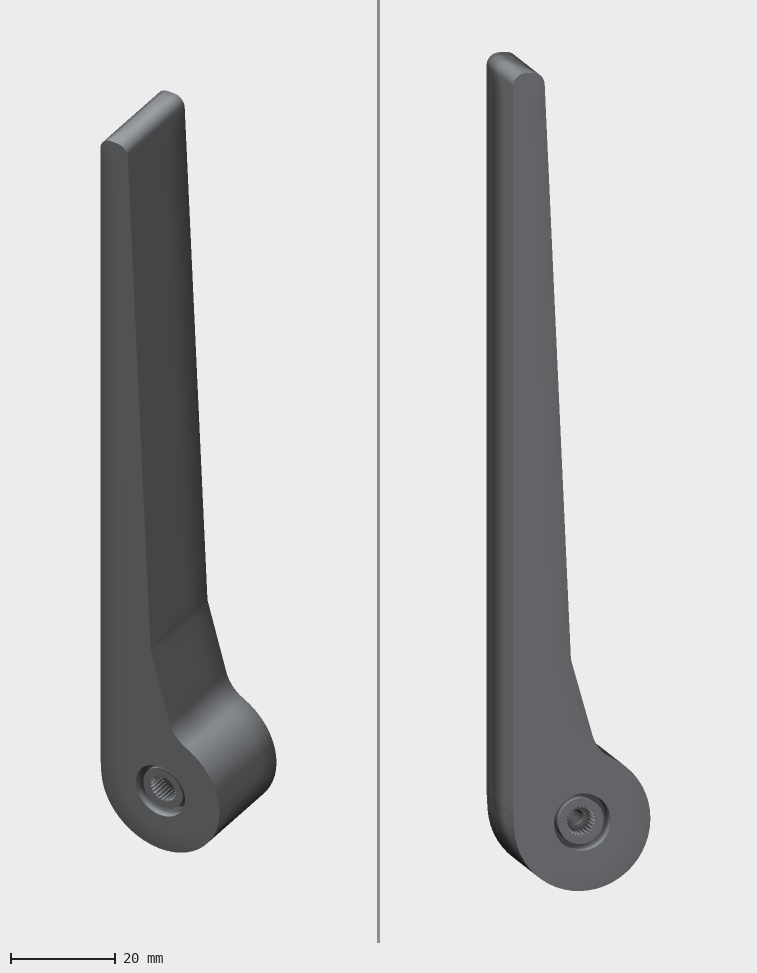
import cadquery as cq
import math

total_height = 159.9
thickness = 20.0

boss_radius = 13.5
pivot_x = 13.6
pivot_z = boss_radius
flat_back_end = 16.0

tip_width = 6.0
tip_radius = 2.4
kink_x = 11.4
kink_z = 45.2
neck_x = 15.8
neck_z = 29.4
neck_radius = 7.5

recess_diameter = 11.2
recess_depth = 4.0

hub_diameter = 9.0
hub_setback = 1.0
tooth_count = 25
spline_root_diameter = 5.8
spline_tip_diameter = 5.1
spline_depth = 4.0
screw_hole_diameter = 3.0


def pivot_workplane(y):
    """Plane across the pivot axis at the given Y, extruding towards -Y."""
    return cq.Workplane("XZ", origin=(pivot_x, y, pivot_z))


def cylinder(diameter, start_y, end_y):
    """Solid cylinder on the pivot axis between two Y positions."""
    return pivot_workplane(end_y).circle(diameter / 2).extrude(end_y - start_y)


def back_tangent_point():
    """Boss point whose tangent runs up to the lower end of the back face."""
    dx = pivot_x
    dz = pivot_z - flat_back_end
    distance = math.hypot(dx, dz)
    heading = math.atan2(dz, dx) - math.asin(boss_radius / distance)
    length = math.sqrt(distance**2 - boss_radius**2)
    return length * math.cos(heading), flat_back_end + length * math.sin(heading)


def make_arm():
    """Tapered arm whose lower end reaches into the boss."""
    neck_slope = (neck_x - kink_x) / (neck_z - kink_z)
    neck_end_x = kink_x + neck_slope * (pivot_z - kink_z)
    outline = [
        (0, total_height),
        (tip_width, total_height),
        (kink_x, kink_z),
        (neck_end_x, pivot_z),
        back_tangent_point(),
        (0, flat_back_end),
    ]
    arm = cq.Workplane("XZ").polyline(outline).close().extrude(-thickness)
    return arm.edges("|Y and >Z").fillet(tip_radius)


def make_lever():
    lever = make_arm().union(cylinder(2 * boss_radius, 0, thickness))
    neck_corner = cq.selectors.NearestToPointSelector((neck_x, thickness / 2, neck_z))
    lever = lever.edges("|Y").edges(neck_corner).fillet(neck_radius)
    lever = lever.cut(cylinder(recess_diameter, 0, recess_depth))
    return lever.cut(cylinder(hub_diameter, recess_depth, thickness))


def make_spline_cutter():
    """Toothed socket: each pitch has a flat root, a flat crest and two flanks, all of equal angle."""
    root_radius = spline_root_diameter / 2
    crest_radius = spline_tip_diameter / 2
    outline = []
    quarter_pitch = math.pi / (2 * tooth_count)
    for i in range(tooth_count):
        for j, radius in enumerate((root_radius, root_radius, crest_radius, crest_radius)):
            angle = (4 * i + j) * quarter_pitch
            outline.append((radius * math.cos(angle), radius * math.sin(angle)))
    socket_floor_y = hub_setback + spline_depth
    return pivot_workplane(socket_floor_y).polyline(outline).close().extrude(spline_depth)


def make_hub():
    hub = cylinder(hub_diameter, hub_setback, thickness)
    hub = hub.cut(make_spline_cutter())
    return hub.cut(cylinder(screw_hole_diameter, hub_setback, thickness))


lever = make_lever()
hub = make_hub()

result = cq.Compound.makeCompound([lever.val(), hub.val()])